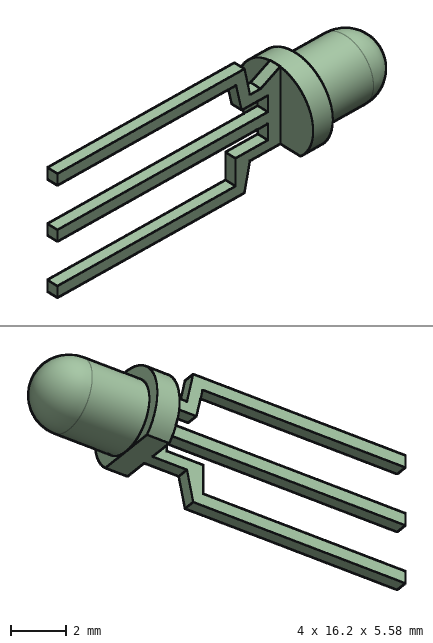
import cadquery as cq


total_length = 16.18
lens_length = 5.0
lens_radius = 1.49
flange_radius = 4.0 / 2
flange_thickness = 0.99
flat_depth = lens_radius

lead_size = 0.53
frame_height = 5.58
web_length = 0.63
slot_half_height = 1.0
shoulder_half_height = lens_radius
gusset_length = 0.99
shoulder_length = 1.52
outer_bend_end = 1.8
upper_inner_bend_start = 1.94
upper_inner_bend_end = 2.22
lower_inner_step = 2.25

lead_end_y = lens_length - total_length
frame_half_height = frame_height / 2
outer_lead_inner_z = frame_half_height - lead_size
lead_half = lead_size / 2


def make_lens():
    """Domed cylinder revolved about the Y axis."""
    dome_start = lens_length - lens_radius
    return (
        cq.Workplane("XY")
        .lineTo(lens_radius, 0)
        .lineTo(lens_radius, dome_start)
        .radiusArc((0, lens_length), -lens_radius)
        .close()
        .revolve(360, (0, 0), (0, 1))
    )


def make_flange():
    """Round flange with a flat on its underside."""
    disc = cq.Workplane("XZ").circle(flange_radius).extrude(-flange_thickness)
    keep_height = flat_depth + flange_radius
    keep = cq.Workplane("XY").box(
        2 * flange_radius, flange_thickness, keep_height, centered=(True, False, False)
    )
    return disc.intersect(keep.translate((0, 0, -flat_depth)))


def make_lead_frame():
    """Flat frame joining the leads, traced from the top of the flange downward."""
    outline = [
        (0, flange_radius),
        (-gusset_length, shoulder_half_height),
        (-shoulder_length, shoulder_half_height),
        (-outer_bend_end, frame_half_height),
        (lead_end_y, frame_half_height),
        (lead_end_y, outer_lead_inner_z),
        (-upper_inner_bend_end, outer_lead_inner_z),
        (-upper_inner_bend_start, slot_half_height),
        (-web_length, slot_half_height),
        (-web_length, lead_half),
        (lead_end_y, lead_half),
        (lead_end_y, -lead_half),
        (-web_length, -lead_half),
        (-web_length, -slot_half_height),
        (-lower_inner_step, -slot_half_height),
        (-lower_inner_step, -outer_lead_inner_z),
        (lead_end_y, -outer_lead_inner_z),
        (lead_end_y, -frame_half_height),
        (-outer_bend_end, -frame_half_height),
        (-shoulder_length, -shoulder_half_height),
        (0, -shoulder_half_height),
    ]
    return cq.Workplane("YZ").polyline(outline).close().extrude(lead_half, both=True)


result = make_lens().union(make_flange()).union(make_lead_frame())